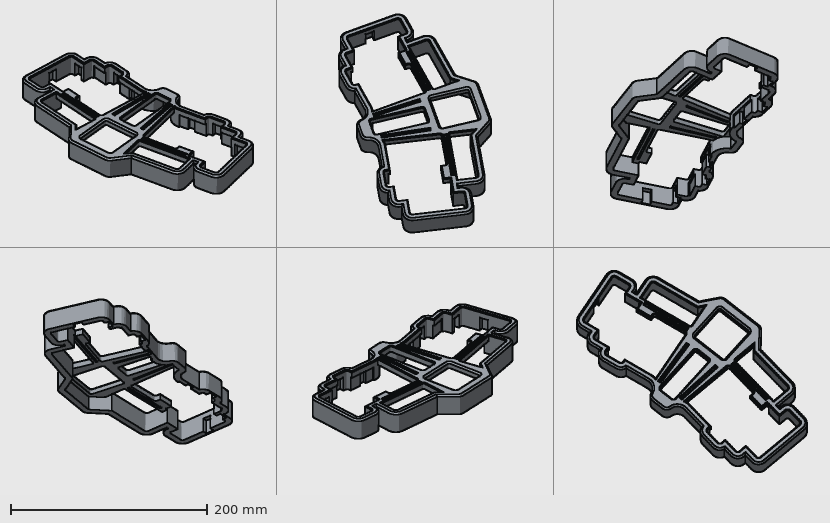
import cadquery as cq
import math

HEIGHT = 22.8
PLATE = 7.5
WALL = 7.2
OUTER_CHAMFER = 2.0
RIM_CHAMFER = 1.0
SLOT_CHAMFER = 0.8
SQUARE_CHAMFER = 2.0

TILT = 8.0
PITCH = 19.0
ROWS = 3
CLEARANCE = 0.66
FIELD_START = 26.8
FIELD_CORNER = 2.5
INNER_COLUMNS = 2
INNER_SHIFT = 13.0
LEFT_SHIFTS = (19.5, 12.0, 0.5)
RIGHT_SHIFTS = (18.5, 10.0, -0.4)

THUMB_TOP = -24.5
THUMB_BOTTOM = -45.7
THUMB_END = 86.0
THUMB_CORNER = 2.7
RAIL_CORNER = 1.5

CROWN_HALF = 6.5
CROWN_Y = 60.0
SWOOP_RADIUS = 17.3
FOOT_HALF = 22.5
FOOT_Y = -59.8
SHOULDER_START = 31.3
WINDOW_WIDTH, WINDOW_BOTTOM, WINDOW_TOP = 19.5, -4.5, 53.0
SQUARE_WIDTH, SQUARE_BOTTOM, SQUARE_TOP = 40.6, -55.5, -14.3
WINDOW_CORNER = 2.0

SLOT_WIDTH = 2.0
RAIL_SLOT_START, RAIL_SLOT_END = 28.0, 79.5
SPINE_SLOT_LOW = (19.0, -3.0)
SPINE_SLOT_HIGH = (14.3, 46.7)

RECESS_WIDTH = 9.5
RECESS_DEPTH = 5.0
INNER_RECESS_START, INNER_RECESS_END = 42.5, 50.5
RELIEVED_COLUMNS = (1,)
RELIEF_START = 32.7
RELIEF_DEPTH = 1.5
END_RECESS = 3.5

OVERLAP = 2.7

FIELD_LOW = FIELD_START - CLEARANCE
FIELD_HIGH = FIELD_START + PITCH * (INNER_COLUMNS + len(LEFT_SHIFTS)) + CLEARANCE
INNER_END = FIELD_START + PITCH * INNER_COLUMNS + CLEARANCE
FIELD_HALF_HEIGHT = PITCH * ROWS / 2 + CLEARANCE
RAIL_TOP = INNER_SHIFT - FIELD_HALF_HEIGHT
FIELD_TOP = INNER_SHIFT + FIELD_HALF_HEIGHT
CAVITY_HEIGHT = HEIGHT - PLATE
HANDS = ((-1, LEFT_SHIFTS), (1, RIGHT_SHIFTS))


def block(x_min, x_max, y_min, y_max, height=HEIGHT):
    """Box standing on the base plane between two X and two Y limits."""
    box = cq.Workplane("XY").box(x_max - x_min, y_max - y_min, height, centered=False)
    return box.translate((x_min, y_min, 0))


def place(body, side):
    """Turn a body from the tilted frame onto the right (1) or left (-1) half."""
    turned = body.rotate((0, 0, 0), (0, 0, 1), TILT)
    return turned if side > 0 else turned.mirror("YZ")


def fillet_at(body, points, radius):
    """Round the vertical edges standing at the given points."""
    near = 0.13
    for x, y in points:
        box = cq.selectors.BoxSelector((x - near, y - near, -2.7), (x + near, y + near, HEIGHT + 2.7))
        body = body.edges("|Z").edges(box).fillet(radius)
    return body


def column_limits(index):
    """Sides of the outer column with the given index, counted outward."""
    start = FIELD_START + PITCH * (INNER_COLUMNS + index)
    return start - CLEARANCE, start + PITCH + CLEARANCE


def key_field(shifts):
    """Staggered key columns of one hand, in the tilted frame."""
    field = block(FIELD_LOW, INNER_END, RAIL_TOP, FIELD_TOP)
    corners = [(FIELD_LOW, RAIL_TOP), (INNER_END, RAIL_TOP)]
    for index, shift in enumerate(shifts):
        low, high = column_limits(index)
        field = field.union(block(low, high, shift - FIELD_HALF_HEIGHT, shift + FIELD_HALF_HEIGHT))
        corners.append((high, shift + FIELD_HALF_HEIGHT))
    first_low, _ = column_limits(0)
    last_low, last_high = column_limits(len(shifts) - 1)
    corners.append((first_low, shifts[0] + FIELD_HALF_HEIGHT))
    corners += [(x, shifts[-1] - FIELD_HALF_HEIGHT) for x in (last_low, last_high)]
    return fillet_at(field, corners, FIELD_CORNER)


def thumb_field(top):
    """Thumb area below the given height, in the tilted frame."""
    field = block(FIELD_LOW, THUMB_END, THUMB_BOTTOM, top)
    return fillet_at(field, [(THUMB_END, THUMB_BOTTOM)], THUMB_CORNER)


def to_half(u, v):
    """Right-half position of a point given in the tilted frame."""
    angle = math.radians(TILT)
    return (u * math.cos(angle) - v * math.sin(angle), u * math.sin(angle) + v * math.cos(angle))


def swoop_points():
    """Middle and end of the arc that runs from the crown corner tangent into the key field's top edge."""
    angle = math.radians(TILT)
    crown_u = CROWN_HALF * math.cos(angle) + CROWN_Y * math.sin(angle)
    crown_v = -CROWN_HALF * math.sin(angle) + CROWN_Y * math.cos(angle)
    center_v = FIELD_TOP + SWOOP_RADIUS
    rise = crown_v - center_v
    center_u = crown_u + math.sqrt(SWOOP_RADIUS**2 - rise**2)
    start_angle = math.atan2(rise, crown_u - center_u) % (2 * math.pi)
    middle_angle = (start_angle + 1.5 * math.pi) / 2
    middle = to_half(
        center_u + SWOOP_RADIUS * math.cos(middle_angle),
        center_v + SWOOP_RADIUS * math.sin(middle_angle),
    )
    return middle, to_half(center_u, FIELD_TOP)


def centre_area():
    """Middle of the hollow, between the two hands."""
    (middle_x, middle_y), (end_x, end_y) = swoop_points()
    shoulder_x, shoulder_y = to_half(SHOULDER_START, THUMB_BOTTOM)
    return (
        cq.Workplane("XY")
        .moveTo(-CROWN_HALF, CROWN_Y)
        .lineTo(CROWN_HALF, CROWN_Y)
        .threePointArc((middle_x, middle_y), (end_x, end_y))
        .lineTo(shoulder_x, shoulder_y)
        .lineTo(FOOT_HALF, FOOT_Y)
        .lineTo(-FOOT_HALF, FOOT_Y)
        .lineTo(-shoulder_x, shoulder_y)
        .lineTo(-end_x, end_y)
        .threePointArc((-middle_x, middle_y), (-CROWN_HALF, CROWN_Y))
        .close()
        .extrude(HEIGHT)
    )


def hollow_area():
    """Full-height body with the outline of the hollow."""
    hollow = centre_area()
    for side, shifts in HANDS:
        thumb_join = shifts[0] - FIELD_HALF_HEIGHT + OVERLAP
        hollow = hollow.union(place(key_field(shifts), side))
        hollow = hollow.union(place(thumb_field(thumb_join), side))
    return hollow.clean()


def key_opening(shifts, side):
    """Key opening of one hand, carried up to the swoop at its inner corner."""
    corner = block(FIELD_LOW, FIELD_LOW + PITCH / 2, FIELD_TOP - OVERLAP, FIELD_TOP + OVERLAP)
    return place(key_field(shifts), side).union(place(corner, side).intersect(centre_area()))


def thumb_opening(side):
    """Thumb opening of one hand, carried down to the slanted foot at its inner corner."""
    opening = fillet_at(thumb_field(THUMB_TOP), [(FIELD_LOW, THUMB_TOP)], RAIL_CORNER)
    corner = block(FIELD_LOW, FIELD_LOW + PITCH / 2, THUMB_BOTTOM - WALL, THUMB_BOTTOM + OVERLAP)
    return place(opening, side).union(place(corner, side).intersect(centre_area()))


def rail_slot(side):
    """Slot along the rail between the key and thumb openings."""
    middle = (RAIL_TOP + THUMB_TOP) / 2
    half_width = SLOT_WIDTH / 2
    return place(block(RAIL_SLOT_START, RAIL_SLOT_END, middle - half_width, middle + half_width), side)


def spine_slot(side):
    """Slanted slot beside the window."""
    run = SPINE_SLOT_HIGH[0] - SPINE_SLOT_LOW[0]
    rise = SPINE_SLOT_HIGH[1] - SPINE_SLOT_LOW[1]
    slot = block(-SLOT_WIDTH / 2, SLOT_WIDTH / 2, 0, math.hypot(run, rise))
    slot = slot.rotate((0, 0, 0), (0, 0, 1), -math.degrees(math.atan2(run, rise)))
    slot = slot.translate((SPINE_SLOT_LOW[0], SPINE_SLOT_LOW[1], 0))
    return slot if side > 0 else slot.mirror("YZ")


def cut_opening(body, cutter, chamfer):
    """Cut an opening through the top and chamfer its upper rim."""
    body = body.cut(cutter)
    target = cutter.val().BoundingBox().center

    def distance(wire):
        center = wire.BoundingBox().center
        return math.hypot(center.x - target.x, center.y - target.y)

    rim = min(body.faces(">Z").val().innerWires(), key=distance)
    return body.newObject(rim.Edges()).chamfer(chamfer)


def wall_recesses(shifts, side):
    """Pockets sunk into the hollow's wall below the top frame."""
    half_width = RECESS_WIDTH / 2
    pockets = [
        (RELIEF_START, INNER_END, FIELD_TOP, RELIEF_DEPTH),
        (INNER_RECESS_START, INNER_RECESS_END, FIELD_TOP, RECESS_DEPTH),
    ]
    for index, shift in enumerate(shifts):
        low, high = column_limits(index)
        top = shift + FIELD_HALF_HEIGHT
        if index in RELIEVED_COLUMNS:
            pockets.append((low, high - FIELD_CORNER, top, RELIEF_DEPTH))
        else:
            middle = (low + high) / 2
            pockets.append((middle - half_width, middle + half_width, top, RECESS_DEPTH))

    end_middle = shifts[-1] + END_RECESS
    end_low = end_middle - half_width
    end_high = end_middle + half_width
    body = block(FIELD_HIGH - OVERLAP, FIELD_HIGH + RECESS_DEPTH, end_low, end_high, CAVITY_HEIGHT)
    for start, end, top, depth in pockets:
        body = body.union(block(start, end, top - OVERLAP, top + depth, CAVITY_HEIGHT))
    return place(body, side)


hollow = hollow_area()
result = hollow.faces("<Z").wires().toPending().workplane().offset2D(WALL, "arc").extrude(-HEIGHT)
result = result.faces(">Z").edges().chamfer(OUTER_CHAMFER)

window = block(-WINDOW_WIDTH / 2, WINDOW_WIDTH / 2, WINDOW_BOTTOM, WINDOW_TOP).edges("|Z").fillet(WINDOW_CORNER)
square = block(-SQUARE_WIDTH / 2, SQUARE_WIDTH / 2, SQUARE_BOTTOM, SQUARE_TOP).edges("|Z").fillet(WINDOW_CORNER)
result = cut_opening(result, window, RIM_CHAMFER)
result = cut_opening(result, square, SQUARE_CHAMFER)
for side, shifts in HANDS:
    result = cut_opening(result, key_opening(shifts, side), RIM_CHAMFER)
    result = cut_opening(result, thumb_opening(side), RIM_CHAMFER)
    result = cut_opening(result, rail_slot(side), SLOT_CHAMFER)
    result = cut_opening(result, spine_slot(side), SLOT_CHAMFER)

result = result.cut(hollow.translate((0, 0, CAVITY_HEIGHT - HEIGHT)))
for side, shifts in HANDS:
    result = result.cut(wall_recesses(shifts, side))